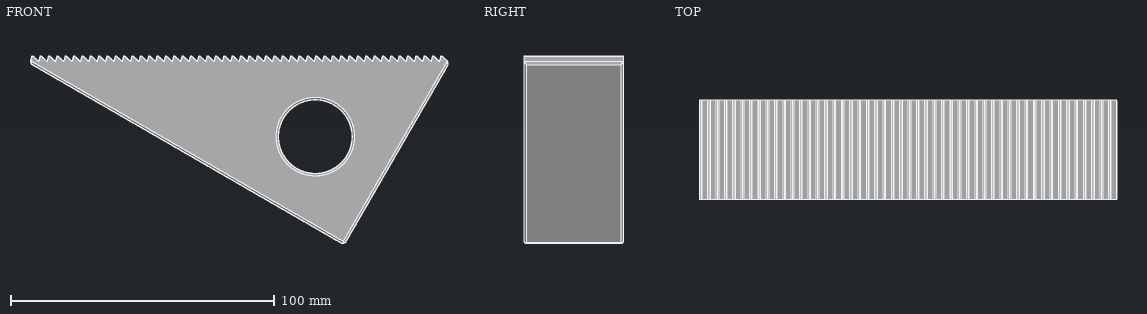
import cadquery as cq
import math

length = 158.7
width = 38.0
height = 71.3
long_side_angle = math.radians(30)

tooth_count = 50
tooth_row_length = 158.5
tooth_pitch = tooth_row_length / tooth_count
tooth_depth = 2.0
steep_flank_run = 0.55
tip_flat = 0.5

left_facet_run = 0.5
left_facet_bottom = -3.2
right_facet_bottom = -3.3

side_chamfer = 1.0

hole_diameter = 28.0
hole_chamfer = 1.0
hole_x = 108.2
hole_z = -30.6

long_slope = math.tan(long_side_angle)
short_slope = 1 / long_slope
long_side_at_zero = left_facet_bottom + left_facet_run * long_slope
short_side_at_zero = right_facet_bottom - length * short_slope
corner_x = (long_side_at_zero - short_side_at_zero) / (long_slope + short_slope)
corner_z = long_side_at_zero - corner_x * long_slope

corner_leg = (-height - corner_z) / math.sin(long_side_angle)


def extrude_profile(points):
    """Solid of the given XZ outline, centred on Y over the full width."""
    return cq.Workplane("XZ").polyline(points).close().extrude(width / 2, both=True)


def toothed_wedge():
    """Wedge with its saw-tooth top and blunted corners."""
    points = []
    for i in range(tooth_count):
        valley_x = i * tooth_pitch
        tip_x = valley_x + steep_flank_run
        points += [(valley_x, -tooth_depth), (tip_x, 0), (tip_x + tip_flat, 0)]
    cos_a = math.cos(long_side_angle)
    sin_a = math.sin(long_side_angle)
    points += [
        (tooth_row_length, -tooth_depth),
        (length, right_facet_bottom),
        (corner_x + corner_leg * sin_a, corner_z + corner_leg * cos_a),
        (corner_x - corner_leg * cos_a, corner_z + corner_leg * sin_a),
        (left_facet_run, left_facet_bottom),
    ]
    return extrude_profile(points)


def beveled_triangle():
    """Sharp-cornered triangle whose two sloping sides have chamfered rims."""
    points = [
        (long_side_at_zero / long_slope, 0),
        (corner_x, corner_z),
        (-short_side_at_zero / short_slope, 0),
    ]
    triangle = extrude_profile(points)
    return triangle.edges("not (|X or |Y)").chamfer(side_chamfer)


def cross_hole():
    """Cutter for the through hole along Y with a chamfer at both mouths."""
    radius = hole_diameter / 2
    mouth_radius = radius + hole_chamfer
    half = width / 2
    profile = [
        (0, -half),
        (mouth_radius, -half),
        (radius, -half + hole_chamfer),
        (radius, half - hole_chamfer),
        (mouth_radius, half),
        (0, half),
    ]
    cutter = cq.Workplane("XY").polyline(profile).close().revolve(360, (0, 0, 0), (0, 1, 0))
    return cutter.translate((hole_x, 0, hole_z))


result = toothed_wedge().intersect(beveled_triangle()).cut(cross_hole())